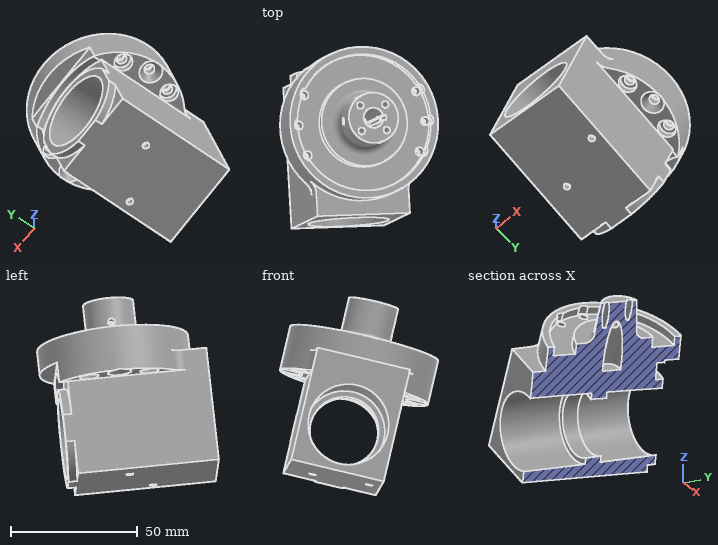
import cadquery as cq
import math


TILT_X = -5.8
TILT_Y = 13.4
TILT_Z = 2.0
PART_CENTRE = (2.5, -4.0, -37.6)

HUB_RADIUS = 10.0
HUB_FILLET = 3.05
HUB_BORE_RADIUS = 4.0
HUB_BORE_DEPTH = 28.1
KEYWAY_WIDTH = 2.0
KEYWAY_REACH = 5.1
TIP_HOLE_RADIUS = 1.3
TIP_HOLE_OFFSET = 5.1
TIP_HOLE_DEPTH = 11.7
PIN_HOLE_RADIUS = 1.3
PIN_HOLE_Z = -9.75

DISC_RADIUS = 29.95
DISC_TOP = -16.3
DISC_BOTTOM = -34.0
RECESS_RADIUS = 27.0
RECESS_DEPTH = 3.7
RECESS_FLOOR = DISC_TOP - RECESS_DEPTH
COLLAR_RADIUS = 17.3
COLLAR_TOP = -15.8

SCREW_CIRCLE_RADIUS = 25.6
SCREW_SPACING_ANGLE = 27.8
SCREW_HOLE_RADIUS = 1.6
SCREW_HOLE_DEPTH = 7.4
SHANK_HOLE_RADIUS = 2.0
WALL_RELIEF_RADIUS = 2.4
COUNTERBORE_RADIUS = 3.7
COUNTERBORE_DEPTH = 3.35
COUNTERSINK_RADIUS = 4.7

BLOCK_WIDTH = 37.45
BLOCK_SIDES = (-BLOCK_WIDTH / 2, BLOCK_WIDTH / 2)
BLOCK_TOP = -26.0
BLOCK_BOTTOM = -71.5
BLOCK_FRONT = -35.5
BLOCK_BACK = 20.3
CORNER_FILLET = 6.25

CROSS_BORE_Z = BLOCK_BOTTOM + BLOCK_WIDTH / 2
CROSS_BORE_RADIUS = 15.9
SHOULDER_BORE_RADIUS = 13.6
SHOULDER_FRONT = -8.1
SHOULDER_LENGTH = 7
SPIGOT_RADIUS = 19.5
SPIGOT_END = 23.65
SPIGOT_RELIEF_RADIUS = 26.0

BASE_HOLE_POINTS = [(-8.1, -0.55), (14.3, -10.5)]
BASE_HOLE_RADIUS = 1.3
BASE_HOLE_DEPTH = 3.9


def rod(radius, z_low, z_high, points=((0, 0),)):
    """Upright cylinders between two heights."""
    return cq.Workplane("XY", origin=(0, 0, z_low)).pushPoints(points).circle(radius).extrude(z_high - z_low)


def cross_rod(radius, y_front, y_back):
    """Cylinder along the cross bore axis."""
    plane = cq.Workplane("XZ", origin=(0, y_front, CROSS_BORE_Z))
    return plane.circle(radius).extrude(y_front - y_back)


def box(x_range, y_range, z_range):
    """Box given by its limits along each axis."""
    sizes = [high - low for low, high in (x_range, y_range, z_range)]
    corner = (x_range[0], y_range[0], z_range[0])
    return cq.Workplane("XY").box(*sizes, centered=False).translate(corner)


def make_block():
    """Block with a short spigot at the back, trimmed flush with the sides and underside."""
    block = box(BLOCK_SIDES, (BLOCK_FRONT, BLOCK_BACK), (BLOCK_BOTTOM, BLOCK_TOP))
    spigot = cross_rod(SPIGOT_RADIUS, BLOCK_BACK, SPIGOT_END)
    spigot_limits = box(BLOCK_SIDES, (BLOCK_BACK, SPIGOT_END), (BLOCK_BOTTOM, BLOCK_TOP))
    return block.union(spigot.intersect(spigot_limits))


def make_disc():
    """Disc whose lower part is cut flat at the back and relieved around the spigot."""
    disc = rod(DISC_RADIUS, DISC_BOTTOM, DISC_TOP)
    full_width = (-DISC_RADIUS, DISC_RADIUS)
    back_step = box(full_width, (SPIGOT_END, DISC_RADIUS), (DISC_BOTTOM, BLOCK_TOP))
    relief = cross_rod(SPIGOT_RELIEF_RADIUS, BLOCK_BACK, SPIGOT_END)
    return disc.cut(back_step).cut(relief)


def make_corner_webs():
    """Concave webs that blend the lower disc into both sides of the block."""
    side = BLOCK_WIDTH / 2
    centre_x = side + CORNER_FILLET
    centre_distance = DISC_RADIUS + CORNER_FILLET
    centre_y = -math.sqrt(centre_distance**2 - centre_x**2)
    centre_bearing = math.atan2(-centre_y, centre_x)
    disc_contact = (DISC_RADIUS * math.cos(centre_bearing), -DISC_RADIUS * math.sin(centre_bearing))
    web = (
        cq.Workplane("XY", origin=(0, 0, DISC_BOTTOM))
        .moveTo(side, centre_y)
        .radiusArc(disc_contact, CORNER_FILLET)
        .lineTo(side, disc_contact[1] / 2)
        .close()
        .extrude(BLOCK_TOP - DISC_BOTTOM)
    )
    return web.union(web.mirror("YZ"))


def make_hub():
    """Hub flaring through a concave fillet into the collar."""
    return (
        cq.Workplane("XZ")
        .lineTo(HUB_RADIUS, 0)
        .lineTo(HUB_RADIUS, COLLAR_TOP + HUB_FILLET)
        .radiusArc((HUB_RADIUS + HUB_FILLET, COLLAR_TOP), -HUB_FILLET)
        .lineTo(COLLAR_RADIUS, COLLAR_TOP)
        .lineTo(COLLAR_RADIUS, RECESS_FLOOR)
        .lineTo(0, RECESS_FLOOR)
        .close()
        .revolve(360, (0, 0), (0, 1))
    )


def screw_points(angles):
    """Screw positions at the given angles, on both sides of the disc."""
    bearings = [math.radians(side + angle) for side in (0, 180) for angle in angles]
    return [(SCREW_CIRCLE_RADIUS * math.cos(b), SCREW_CIRCLE_RADIUS * math.sin(b)) for b in bearings]


def cut_disc_screws(body):
    """Stepped holes, counterbored below except the middle pair, which is countersunk."""
    outer = screw_points((-SCREW_SPACING_ANGLE, SCREW_SPACING_ANGLE))
    middle = screw_points((0,))
    body = body.cut(rod(WALL_RELIEF_RADIUS, RECESS_FLOOR, DISC_TOP, outer + middle))
    shank_top = RECESS_FLOOR - SCREW_HOLE_DEPTH
    body = body.cut(rod(SCREW_HOLE_RADIUS, shank_top, RECESS_FLOOR, outer + middle))
    body = body.cut(rod(SHANK_HOLE_RADIUS, DISC_BOTTOM, shank_top, outer + middle))
    body = body.cut(rod(COUNTERBORE_RADIUS, DISC_BOTTOM, DISC_BOTTOM + COUNTERBORE_DEPTH, outer))
    countersink = cq.Solid.makeCone(COUNTERSINK_RADIUS, 0, COUNTERSINK_RADIUS)
    for x, y in middle:
        body = body.cut(cq.Workplane(countersink).translate((x, y, DISC_BOTTOM)))
    return body


def cut_cross_bore(body):
    """Through bore that leaves a narrower shoulder ring inside."""
    body = body.cut(cross_rod(CROSS_BORE_RADIUS, BLOCK_FRONT, SHOULDER_FRONT))
    body = body.cut(cross_rod(SHOULDER_BORE_RADIUS, BLOCK_FRONT, SPIGOT_END))
    return body.cut(cross_rod(CROSS_BORE_RADIUS, SHOULDER_FRONT + SHOULDER_LENGTH, SPIGOT_END))


def cut_hub_holes(body):
    """Keyed blind bore, four holes in the tip and a pin hole across the hub."""
    body = body.cut(rod(HUB_BORE_RADIUS, -HUB_BORE_DEPTH, 0))
    body = body.cut(box((0, KEYWAY_REACH), (-KEYWAY_WIDTH / 2, KEYWAY_WIDTH / 2), (-HUB_BORE_DEPTH, 0)))
    offsets = (-TIP_HOLE_OFFSET, TIP_HOLE_OFFSET)
    tip_points = [(x, y) for x in offsets for y in offsets]
    body = body.cut(rod(TIP_HOLE_RADIUS, -TIP_HOLE_DEPTH, 0, tip_points))
    pin_hole = cq.Workplane("YZ").center(0, PIN_HOLE_Z).circle(PIN_HOLE_RADIUS).extrude(HUB_RADIUS, both=True)
    return body.cut(pin_hole)


body = make_disc().union(make_block()).union(make_corner_webs())
body = body.cut(rod(RECESS_RADIUS, RECESS_FLOOR, DISC_TOP)).union(make_hub())
body = cut_disc_screws(body)
body = cut_cross_bore(body)
body = cut_hub_holes(body)
body = body.cut(rod(BASE_HOLE_RADIUS, BLOCK_BOTTOM, BLOCK_BOTTOM + BASE_HOLE_DEPTH, BASE_HOLE_POINTS))

result = body.translate([-coordinate for coordinate in PART_CENTRE])
for axis, angle in (((1, 0, 0), TILT_X), ((0, 1, 0), TILT_Y), ((0, 0, 1), TILT_Z)):
    result = result.rotate((0, 0, 0), axis, angle)